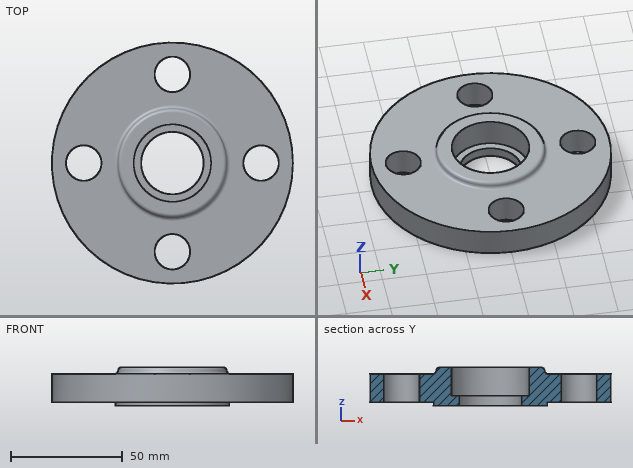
import cadquery as cq
import math

flange_diameter = 107.9
flange_thickness = 12.7

face_diameter = 51.0
face_height = 1.6

hub_top_diameter = 45.4
hub_height = 3.0
hub_fillet_radius = 1.6
hub_taper_angle = 10.0

bore_diameter = 27.8
socket_diameter = 34.6
socket_depth = 12.7

bolt_hole_count = 4
bolt_hole_diameter = 15.8
bolt_circle_diameter = 79.3

plate_bottom = face_height
plate_top = plate_bottom + flange_thickness
hub_top = plate_top + hub_height


def cylinder(diameter, bottom, top):
    """Solid cylinder about the Z axis between two levels."""
    return cq.Workplane("XY").workplane(offset=bottom).circle(diameter / 2).extrude(top - bottom)


def hub():
    """Hub revolved from a profile whose taper is tangent to equal arcs above and below it."""
    taper = math.radians(hub_taper_angle)
    arc_width = hub_fillet_radius * math.cos(taper)
    arc_height = hub_fillet_radius * (1 - math.sin(taper))
    taper_height = hub_height - 2 * arc_height

    top_radius = hub_top_diameter / 2
    taper_top_radius = top_radius + arc_width
    taper_foot_radius = taper_top_radius + taper_height * math.tan(taper)
    foot_radius = taper_foot_radius + arc_width
    return (
        cq.Workplane("XZ")
        .moveTo(0, plate_bottom)
        .lineTo(0, hub_top)
        .lineTo(top_radius, hub_top)
        .radiusArc((taper_top_radius, hub_top - arc_height), hub_fillet_radius)
        .lineTo(taper_foot_radius, plate_top + arc_height)
        .radiusArc((foot_radius, plate_top), -hub_fillet_radius)
        .lineTo(foot_radius, plate_bottom)
        .close()
        .revolve(360, (0, 0), (0, 1))
    )


def bolt_holes():
    """Through-plate cutters spaced evenly on the bolt circle."""
    return (
        cq.Workplane("XY")
        .workplane(offset=plate_bottom)
        .polarArray(bolt_circle_diameter / 2, 0, 360, bolt_hole_count)
        .circle(bolt_hole_diameter / 2)
        .extrude(flange_thickness)
    )


plate = cylinder(flange_diameter, plate_bottom, plate_top)
sealing_face = cylinder(face_diameter, 0, plate_bottom)
bore = cylinder(bore_diameter, 0, hub_top)
socket = cylinder(socket_diameter, hub_top - socket_depth, hub_top)

result = plate.union(sealing_face).union(hub()).cut(bore).cut(socket).cut(bolt_holes())